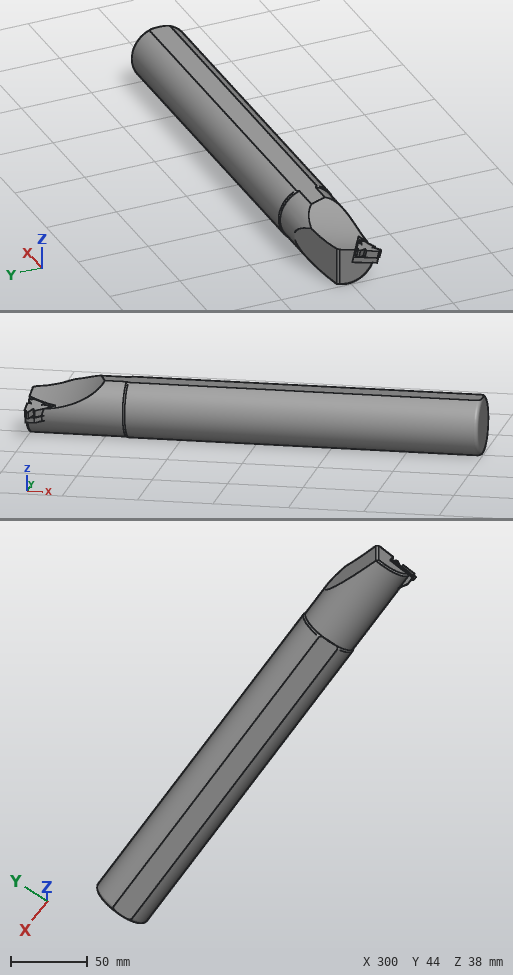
import cadquery as cq
import math

LENGTH = 300.0
SHANK_DIAMETER = 120.0 / 3
SHANK_RADIUS = SHANK_DIAMETER / 2
FLAT_HEIGHT = 18.5
HEAD_RADIUS = 19.5
HEAD_LENGTH = 64.5
NECK_CONE_LENGTH = 1.5
TAIL_ROUND = 2.7

TAPER_START_Y = 7.5
TAPER_LENGTH = 42.3
FRONT_CHAMFER = 1.2

RAKE_ANGLE = 15.0
FLOOR_HEIGHT = 6.0
SCOOP_LOWEST_X = 7.2
SCOOP_RADIUS = 75.0
SCOOP_ARC_ANGLE = 45.0

TRIANGLE_INRADIUS = 6.0
SEAT_INRADIUS = 6.5
BASE_THICKNESS = 3.75
PLATE_THICKNESS = 4.95
BASE_CORNER_REACH = 7.5
BASE_SETBACK = 0.3
INSERT_REACH_Y = 44.0 - SHANK_RADIUS
TOOTH_REACH = 8.7
BUMP_U = 0.5
TOOTH_OUTLINE = [
    (-TRIANGLE_INRADIUS, -6.5),
    (-4.8, -7.2),
    (-4.8, -TOOTH_REACH),
    (-3.3, -TOOTH_REACH),
    (-0.5, -4.2),
    (BUMP_U, (BUMP_U / 2 - TRIANGLE_INRADIUS) / math.cos(math.radians(30))),
]
TOOTH_COUNT = 3

OVERSIZE = 4 * SHANK_RADIUS

rake = math.radians(RAKE_ANGLE)
insert_center_x = TRIANGLE_INRADIUS
insert_center_v = (FLOOR_HEIGHT * math.sin(rake) - INSERT_REACH_Y) / math.cos(rake) + TOOTH_REACH
seat_height = FLOOR_HEIGHT - PLATE_THICKNESS - BASE_THICKNESS


def tilt(body):
    """Turn a body about the bar axis so that its floor falls towards -Y."""
    return body.rotate((0, 0, 0), (1, 0, 0), RAKE_ANGLE)


def insert_plane(height):
    """Plane parallel to the rake face, before tilting, centred on the insert."""
    return cq.Workplane("XY", origin=(insert_center_x, insert_center_v, height))


def seat_prism(height, thickness):
    """Prism of the triangular seat, with one edge lying on the front face."""
    corner_v = (2 * SEAT_INRADIUS + TRIANGLE_INRADIUS) / math.sqrt(3)
    corners = [
        (-TRIANGLE_INRADIUS, -corner_v),
        (2 * SEAT_INRADIUS, 0),
        (-TRIANGLE_INRADIUS, corner_v),
    ]
    return insert_plane(height).polyline(corners).close().extrude(thickness)


def round_bar():
    """Stepped bar with a short neck cone and a rounded tail edge."""
    tail_arc = TAIL_ROUND * math.sqrt(0.5)
    profile = (
        cq.Workplane("XY")
        .lineTo(0, HEAD_RADIUS - FRONT_CHAMFER)
        .lineTo(FRONT_CHAMFER, HEAD_RADIUS)
        .lineTo(HEAD_LENGTH, HEAD_RADIUS)
        .lineTo(HEAD_LENGTH + NECK_CONE_LENGTH, SHANK_RADIUS)
        .lineTo(LENGTH - TAIL_ROUND, SHANK_RADIUS)
        .threePointArc(
            (LENGTH - TAIL_ROUND + tail_arc, SHANK_RADIUS - TAIL_ROUND + tail_arc),
            (LENGTH, SHANK_RADIUS - TAIL_ROUND),
        )
        .lineTo(LENGTH, 0)
        .close()
    )
    return profile.revolve(360, (0, 0, 0), (1, 0, 0))


def top_flat():
    """Cutter for the flat along the whole top of the bar."""
    return (
        cq.Workplane("XY", origin=(LENGTH / 2, 0, FLAT_HEIGHT))
        .rect(LENGTH, OVERSIZE)
        .extrude(OVERSIZE)
    )


def bottom_flat():
    """Cutter for the flat under the shank only."""
    return (
        cq.Workplane("YZ", origin=(HEAD_LENGTH, 0, 0))
        .center(0, -FLAT_HEIGHT - OVERSIZE / 2)
        .rect(OVERSIZE, OVERSIZE)
        .extrude(LENGTH)
    )


def taper_cutter():
    """Cutter for the slanted +Y side of the head and its chamfered front edge."""
    slope = (HEAD_RADIUS - TAPER_START_Y) / TAPER_LENGTH
    return (
        cq.Workplane("XY", origin=(0, 0, -OVERSIZE / 2))
        .moveTo(0, TAPER_START_Y - FRONT_CHAMFER)
        .lineTo(FRONT_CHAMFER, TAPER_START_Y + slope * FRONT_CHAMFER)
        .lineTo(TAPER_LENGTH, HEAD_RADIUS)
        .lineTo(TAPER_LENGTH, OVERSIZE)
        .lineTo(0, OVERSIZE)
        .close()
        .extrude(OVERSIZE)
    )


def scoop_cutter():
    """Cutter for the chip scoop: a shallow trough that curves up towards the shank."""
    end_angle = math.radians(SCOOP_ARC_ANGLE)
    start_angle = -math.asin(SCOOP_LOWEST_X / SCOOP_RADIUS)

    def arc_point(angle):
        return (
            SCOOP_LOWEST_X + SCOOP_RADIUS * math.sin(angle),
            FLOOR_HEIGHT + SCOOP_RADIUS * (1 - math.cos(angle)),
        )

    profile = (
        cq.Workplane("XZ", origin=(0, OVERSIZE / 2, 0))
        .moveTo(*arc_point(start_angle))
        .threePointArc(arc_point(0), arc_point(end_angle))
        .lineTo(0, arc_point(end_angle)[1])
        .close()
    )
    return tilt(profile.extrude(OVERSIZE))


def make_bar():
    pocket = tilt(seat_prism(seat_height, OVERSIZE))
    return (
        round_bar()
        .cut(top_flat())
        .cut(bottom_flat())
        .cut(taper_cutter())
        .cut(scoop_cutter())
        .cut(pocket)
    )


def make_insert():
    base = seat_prism(seat_height, BASE_THICKNESS)
    kept_area = (
        insert_plane(seat_height)
        .moveTo(BASE_SETBACK - TRIANGLE_INRADIUS, -BASE_CORNER_REACH)
        .rect(OVERSIZE, OVERSIZE, centered=False)
        .extrude(BASE_THICKNESS)
    )

    outline = []
    for index in range(TOOTH_COUNT):
        turn = 2 * math.pi * index / TOOTH_COUNT
        for u, v in TOOTH_OUTLINE:
            outline.append((
                u * math.cos(turn) - v * math.sin(turn),
                u * math.sin(turn) + v * math.cos(turn),
            ))
    plate = insert_plane(seat_height + BASE_THICKNESS).polyline(outline).close().extrude(PLATE_THICKNESS)
    return tilt(base.intersect(kept_area).union(plate))


bar = make_bar()
insert = make_insert()
result = cq.Compound.makeCompound([bar.solids().val(), insert.solids().val()])